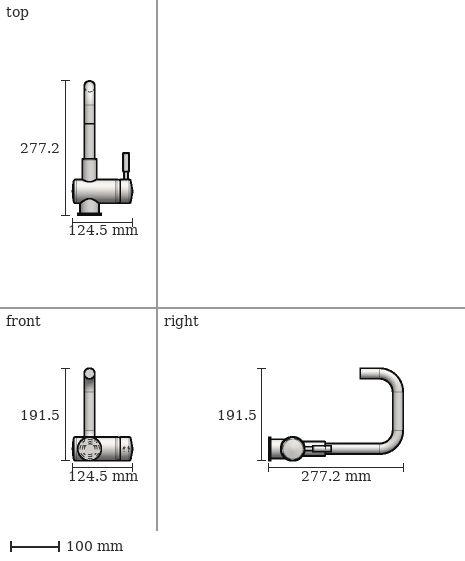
import cadquery as cq
import math


barrel_radius = 25.0
barrel_left = -35.2
dome_height = 2.5
dome_rim_radius = 22.0
left_round_start = -27.7
taper_start = 52.7
taper_blend_end = 56.0
joint_x = 63.5
joint_radius = 23.8
taper_blend_drop = 0.15

base_end = -49.0
base_radius = 20.0
flange_radius = 24.5
flange_thickness = 4.2
flange_round = 1.5

collar_radius = 15.2
collar_end = 67.4
collar_round = 2.5
tube_radius = 11.0
overall_length = 277.2
overall_height = 191.5
bend_radius = 38.0
spout_tip_y = 139.2

cap_round_start = 81.0
cap_rim_x = 85.5
cap_rim_radius = 20.5
cap_tip_x = 89.3
lever_x = 75.5
stem_radius = 4.5
grip_radius = 6.5
grip_start = 41.0
grip_end = 79.3
grip_chamfer_length = 2.0
grip_chamfer_depth = 0.42
grip_crown = 0.5


def cylinder_y(radius, start, end, x=0):
    """Cylinder along Y, centred on the XY plane."""
    return cq.Workplane("XZ", origin=(x, start, 0)).circle(radius).extrude(start - end)


def revolve_about_x(profile):
    """Revolve a closed half profile around the X axis."""
    return profile.close().revolve(360, (0, 0, 0), (1, 0, 0))


def make_barrel():
    rim = (barrel_left + dome_height, dome_rim_radius)
    dome_sphere_radius = (dome_rim_radius**2 + dome_height**2) / (2 * dome_height)
    mid_radius = dome_rim_radius / 2
    mid_sag = dome_sphere_radius - math.sqrt(dome_sphere_radius**2 - mid_radius**2)
    profile = (
        cq.Workplane("XY")
        .moveTo(joint_x, 0)
        .lineTo(joint_x, joint_radius)
        .lineTo(taper_blend_end, barrel_radius - taper_blend_drop)
        .lineTo(taper_start, barrel_radius)
        .lineTo(left_round_start, barrel_radius)
        .tangentArcPoint(rim, relative=False)
        .threePointArc((barrel_left + mid_sag, mid_radius), (barrel_left, 0))
    )
    return revolve_about_x(profile)


def make_base():
    neck = cylinder_y(base_radius, base_end, 0)
    flange = cylinder_y(flange_radius, base_end, base_end + flange_thickness)
    return neck.union(flange.faces(">Y").edges().fillet(flange_round))


def make_collar():
    collar = cylinder_y(collar_radius, 0, collar_end)
    return collar.faces(">Y").edges().fillet(collar_round)


def make_spout():
    upright_y = base_end + overall_length - tube_radius
    upper_z = overall_height - barrel_radius - tube_radius
    bend_start_y = upright_y - bend_radius
    path = (
        cq.Workplane("YZ")
        .lineTo(bend_start_y, 0)
        .tangentArcPoint((upright_y, bend_radius), relative=False)
        .lineTo(upright_y, upper_z - bend_radius)
        .tangentArcPoint((bend_start_y, upper_z), relative=False)
        .lineTo(spout_tip_y, upper_z)
    )
    return cq.Workplane("XZ").circle(tube_radius).sweep(path)


def make_housing():
    return make_barrel().union(make_base()).union(make_collar()).union(make_spout())


def make_cap():
    profile = (
        cq.Workplane("XY")
        .moveTo(joint_x, 0)
        .lineTo(joint_x, barrel_radius)
        .lineTo(cap_round_start, barrel_radius)
        .tangentArcPoint((cap_rim_x, cap_rim_radius), relative=False)
        .lineTo(cap_tip_x, 0)
    )
    return revolve_about_x(profile)


def make_lever():
    stem = cylinder_y(stem_radius, 0, grip_start, lever_x)
    end_radius = grip_radius - grip_chamfer_depth
    grip = (
        cq.Workplane("XY", origin=(lever_x, 0, 0))
        .moveTo(0, grip_start)
        .lineTo(end_radius, grip_start)
        .lineTo(grip_radius, grip_start + grip_chamfer_length)
        .lineTo(grip_radius, grip_end - grip_chamfer_length)
        .lineTo(end_radius, grip_end)
        .lineTo(0, grip_end + grip_crown)
        .close()
        .revolve(360, (0, 0, 0), (0, 1, 0))
    )
    return stem.union(grip)


def make_handle():
    return make_cap().union(make_lever())


housing = make_housing()
handle = make_handle()
result = cq.Compound.makeCompound([housing.val(), handle.val()])